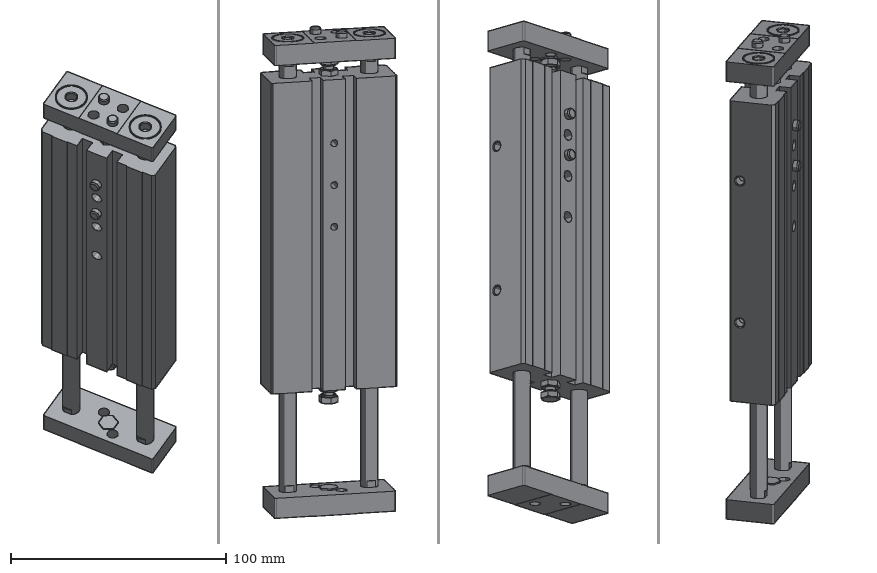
import cadquery as cq
import math

overall_height = 229.5
housing_width = 60.0
housing_height = 148.7
housing_back = 11.0
raised_front = -11.2
raised_step = 0.35
plate_width = 57.8
plate_thickness = 9.6
plate_back = 13.0
plate_front = -10.0
top_gap = 9.0

front_chamfer = 1.4
back_chamfer = 0.7
center_rib_half = 5.3
slot_outer = 10.5
slot_depth = 5.5
band_inner = 15.5
band_outer = 23.9

port_diameter = 4.1
port_rim_diameter = 5.0
port_depth = 5.7
port_end_distance = 39.2
port_y = 6.0
drill_point_angle = 118
front_hole_pitch = 10.0
front_hole_first_depth = 20.5
through_hole_steps = (1, 3, 5)
plug_steps = (0, 2)
front_bore_diameter = 5.0
front_bore_depth = 4.5
through_diameter = 3.2

rod_diameter = 8.0
rod_x = 19.5
flat_across = 6.9
flat_height = 3.2
plate_corner_radius = 0.7
pad_width = 20.2
pad_height = 0.11
ring_outer_diameter = 15.0
ring_inner_diameter = 14.0
ring_depth = 0.5
rod_bore_diameter = 5.0
rod_bore_rim_diameter = 6.0
rod_bore_depth = 4.5
mount_offset = 5.0
mount_diameter = 5.0

hex_across_flats = 8.0
hex_end_diameter = 7.5
hex_chamfer_angle = 30
stop_height = 0.7
nut_height = 2.8
head_height = 3.0
washer_diameter = 6.9
washer_height = 0.7
bolt_diameter = 5.0
bolt_depth = 9.2
screw_diameter = 5.0
plug_protrusion = 2.8
plate_screw_protrusion = 3.0
screw_chamfer_length = 0.7
screw_chamfer_width = 0.5

hex_across_corners = hex_across_flats / math.cos(math.radians(30))
top_plate_bottom = housing_height + top_gap
top_plate_top = top_plate_bottom + plate_thickness
plate_screw_tip = top_plate_top + plate_screw_protrusion
bottom_plate_bottom = plate_screw_tip - overall_height + pad_height
bottom_plate_top = bottom_plate_bottom + plate_thickness
housing_front = raised_front + raised_step
plug_tip = raised_front - plug_protrusion


def cylinder(diameter, start, end):
    """A round bar along Z about the origin."""
    return cq.Workplane("XY").workplane(offset=start).circle(diameter / 2).extrude(end - start)


def hexagon(start, end):
    """A hexagonal bar along Z with corners toward front and back."""
    plane = cq.Workplane("XY").workplane(offset=start)
    return plane.transformed(rotate=(0, 0, 90)).polygon(6, hex_across_corners).extrude(end - start)


def chamfered_hexagon(start, end):
    """A hexagonal bar whose upper corners are turned down to a circle."""
    corner_radius = hex_across_corners / 2
    end_radius = hex_end_diameter / 2
    drop = (corner_radius - end_radius) * math.tan(math.radians(hex_chamfer_angle))
    half_section = [(0, start), (corner_radius, start), (corner_radius, end - drop), (end_radius, end), (0, end)]
    turned = cq.Workplane("XZ").polyline(half_section).close().revolve(360, (0, 0, 0), (0, 1, 0))
    return hexagon(start, end).intersect(turned)


def front_hole_z(step):
    return housing_height - front_hole_first_depth - step * front_hole_pitch


def front_bar(diameter, z, start, end):
    """A round bar along Y, from start to end, on the middle plane."""
    plane = cq.Workplane("XZ", origin=(0, start, z))
    return plane.circle(diameter / 2).extrude(start - end)


def make_profile():
    """The extruded section of the housing: half an outline, mirrored."""
    side = housing_width / 2
    right_half = [
        (0, raised_front),
        (center_rib_half, raised_front),
        (center_rib_half, raised_front + slot_depth),
        (slot_outer, raised_front + slot_depth),
        (slot_outer, housing_front),
        (band_inner, housing_front),
        (band_inner, raised_front),
        (band_outer, raised_front),
        (band_outer, housing_front),
        (side - front_chamfer, housing_front),
        (side, housing_front + front_chamfer),
        (side, housing_back - back_chamfer),
        (side - back_chamfer, housing_back),
        (slot_outer, housing_back),
        (slot_outer, housing_back - slot_depth),
        (center_rib_half, housing_back - slot_depth),
        (center_rib_half, housing_back),
        (0, housing_back),
    ]
    outline = cq.Workplane("XY").polyline(right_half).mirrorY()
    return outline.extrude(housing_height)


def make_side_port(z):
    """A drilled port with a countersunk rim and a conical end."""
    radius = port_diameter / 2
    point = radius / math.tan(math.radians(drill_point_angle / 2))
    rim_radius = port_rim_diameter / 2
    half_section = [
        (0, 0),
        (port_depth + point, 0),
        (port_depth, radius),
        (rim_radius - radius, radius),
        (0, rim_radius),
    ]
    plane = cq.Workplane("XY", origin=(-housing_width / 2, port_y, z))
    return plane.polyline(half_section).close().revolve(360, (0, 0, 0), (1, 0, 0))


def make_housing():
    body = make_profile()
    for x in (-rod_x, rod_x):
        body = body.cut(cylinder(rod_diameter, 0, housing_height).translate((x, 0, 0)))
    for z in (port_end_distance, housing_height - port_end_distance):
        body = body.cut(make_side_port(z))
    for step in through_hole_steps:
        z = front_hole_z(step)
        body = body.cut(front_bar(through_diameter, z, housing_back, raised_front))
        body = body.cut(front_bar(front_bore_diameter, z, raised_front + front_bore_depth, raised_front))
    for step in plug_steps:
        bore = front_bar(screw_diameter, front_hole_z(step), raised_front + front_bore_depth, raised_front)
        body = body.cut(bore)
    for start in (0, housing_height - bolt_depth):
        body = body.cut(cylinder(bolt_diameter, start, start + bolt_depth))
    return body


def make_plate(bottom):
    depth = plate_back - plate_front
    plate = cq.Workplane("XY", origin=(0, (plate_back + plate_front) / 2, bottom))
    plate = plate.box(plate_width, depth, plate_thickness, centered=(True, True, False))
    return plate.edges("|Z").fillet(plate_corner_radius)


def make_pad(bottom):
    """The thin raised band across the middle of a plate's outer face."""
    pad = cq.Workplane("XY", origin=(0, plate_front, bottom))
    return pad.box(pad_width, plate_back - plate_front, pad_height, centered=(True, False, False))


def make_rod():
    """A rod between the two plates, with wrench flats at both ends."""
    rod = cylinder(rod_diameter, bottom_plate_top, top_plate_bottom)
    for start in (bottom_plate_top, top_plate_bottom - flat_height):
        end = cylinder(rod_diameter, start, start + flat_height)
        between_flats = cq.Workplane("XY", origin=(0, 0, start)).box(
            rod_diameter, flat_across, flat_height, centered=(True, True, False)
        )
        rod = rod.cut(end.cut(between_flats))
    return rod


def make_frame():
    """Both end plates joined by the two rods."""
    frame = make_plate(bottom_plate_bottom).union(make_plate(top_plate_bottom))
    rod = make_rod()
    ring = cylinder(ring_outer_diameter, top_plate_top - ring_depth, top_plate_top)
    ring = ring.cut(cylinder(ring_inner_diameter, top_plate_top - ring_depth, top_plate_top))
    bore = cylinder(rod_bore_diameter, top_plate_top - rod_bore_depth, top_plate_top)
    rim_width = (rod_bore_rim_diameter - rod_bore_diameter) / 2
    rim = cylinder(rod_bore_rim_diameter, top_plate_top - rim_width, top_plate_top)
    bore = bore.union(rim.faces("<Z").chamfer(rim_width * 0.999))
    for x in (-rod_x, rod_x):
        frame = frame.union(rod.translate((x, 0, 0)))
        frame = frame.cut(ring.translate((x, 0, 0)))
        frame = frame.cut(bore.translate((x, 0, 0)))
    frame = frame.union(make_pad(bottom_plate_bottom - pad_height)).union(make_pad(top_plate_top))
    frame = frame.union(hexagon(bottom_plate_top, bottom_plate_top + stop_height))
    frame = frame.union(hexagon(top_plate_bottom - stop_height, top_plate_bottom))
    top_hole = cylinder(mount_diameter, top_plate_bottom, top_plate_top + pad_height)
    bottom_hole = cylinder(mount_diameter, bottom_plate_bottom - pad_height, bottom_plate_top)
    for x in (-mount_offset, mount_offset):
        for y in (-mount_offset, mount_offset):
            frame = frame.cut(top_hole.translate((x, y, 0)))
        frame = frame.cut(bottom_hole.translate((x, -x, 0)))
    return frame


def make_bolt():
    """The upper stop bolt: its head meets the stop and its shank enters the housing."""
    head_top = top_plate_bottom - stop_height
    head_bottom = head_top - head_height
    head = chamfered_hexagon(head_bottom, head_top)
    washer = cylinder(washer_diameter, head_bottom - washer_height, head_bottom)
    shank = cylinder(bolt_diameter, housing_height - bolt_depth, head_bottom - washer_height)
    return head.union(washer).union(shank)


def make_nut():
    nut = chamfered_hexagon(housing_height, housing_height + nut_height)
    bore = cylinder(bolt_diameter, housing_height, housing_height + nut_height)
    return nut.cut(bore)


def mirrored_to_bottom(body):
    return body.mirror("XY", (0, 0, housing_height / 2))


def make_plug(z):
    plug = front_bar(screw_diameter, z, raised_front + front_bore_depth, plug_tip)
    return plug.faces("<Y").chamfer(screw_chamfer_length, screw_chamfer_width)


def make_plate_screw():
    screw = cylinder(screw_diameter, top_plate_bottom, plate_screw_tip)
    return screw.faces(">Z").chamfer(screw_chamfer_length, screw_chamfer_width)


housing = make_housing()
frame = make_frame()
bolt = make_bolt()
bolts = [bolt, mirrored_to_bottom(bolt)]
nut = make_nut()
nuts = [nut, mirrored_to_bottom(nut)]
plugs = [make_plug(front_hole_z(step)) for step in plug_steps]
plate_screws = [make_plate_screw().translate((x, -x, 0)) for x in (-mount_offset, mount_offset)]

bodies = [housing, frame, *bolts, *nuts, *plugs, *plate_screws]
result = cq.Compound.makeCompound([body.val() for body in bodies])